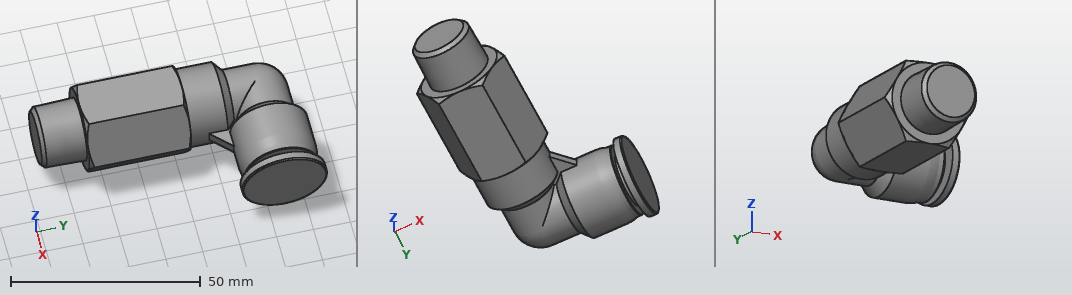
import cadquery as cq
import math


HEX_FLATS = 22.25
HEX_BOTTOM = 11.95
HEX_TOP = 39.6
HEX_CHAMFER_ANGLE = 30.0
THREAD_ROOT_DIAMETER = 17.0
THREAD_TIP_DIAMETER = 16.4
THREAD_CHAMFER = 1.1

BRANCH_Y = 60.5
ELBOW_DIAMETER = 15.85
RUN_DIAMETER = 21.0
RUN_SHOULDER = 49.7
RUN_CONE_TOP = 52.0
SLEEVE_DIAMETER = 21.2
SLEEVE_CONE_START = 8.5
SLEEVE_SHOULDER = 11.15
SLEEVE_CURVE_START = 20.95
SLEEVE_CURVE_END = 23.9
SLEEVE_LIP_DIAMETER = 20.0
SLEEVE_END = 25.5
SLEEVE_LIP_CHAMFER = 0.2
RIB_THICKNESS = 2.9
RIB_CORNER_X = 15.85

STEM_DIAMETER = 14.8
FLANGE_START = 27.0
FLANGE_END = 29.3
FLANGE_LENGTH_Y = 23.05
FLANGE_LENGTH_Z = 20.5
FLANGE_CHAMFER = 0.35


def hexagon():
    """Hexagonal prism with corners on the X axis and both ends chamfered to the flats."""
    corner_diameter = HEX_FLATS / math.cos(math.radians(30))
    corner_radius = corner_diameter / 2
    flat_radius = HEX_FLATS / 2
    drop = (corner_radius - flat_radius) * math.tan(math.radians(HEX_CHAMFER_ANGLE))
    prism = (
        cq.Workplane("XZ", origin=(0, HEX_BOTTOM, 0))
        .polygon(6, corner_diameter)
        .extrude(HEX_BOTTOM - HEX_TOP)
    )
    envelope = (
        cq.Workplane("XY")
        .moveTo(0, HEX_BOTTOM)
        .lineTo(flat_radius, HEX_BOTTOM)
        .lineTo(corner_radius, HEX_BOTTOM + drop)
        .lineTo(corner_radius, HEX_TOP - drop)
        .lineTo(flat_radius, HEX_TOP)
        .lineTo(0, HEX_TOP)
        .close()
        .revolve(360, (0, 0, 0), (0, 1, 0))
    )
    return prism.intersect(envelope)


def make_adapter():
    """Hexagon with a tapered, chamfered thread blank at its lower end."""
    tip_radius = THREAD_TIP_DIAMETER / 2
    thread = (
        cq.Workplane("XY")
        .lineTo(tip_radius - THREAD_CHAMFER, 0)
        .lineTo(tip_radius, THREAD_CHAMFER)
        .lineTo(THREAD_ROOT_DIAMETER / 2, HEX_BOTTOM)
        .lineTo(0, HEX_BOTTOM)
        .close()
        .revolve(360, (0, 0, 0), (0, 1, 0))
    )
    return hexagon().union(thread)


def elbow_run():
    """Stepped leg rising from the hexagon to the branch axis."""
    return (
        cq.Workplane("XY")
        .moveTo(0, HEX_TOP)
        .lineTo(RUN_DIAMETER / 2, HEX_TOP)
        .lineTo(RUN_DIAMETER / 2, RUN_SHOULDER)
        .lineTo(ELBOW_DIAMETER / 2, RUN_CONE_TOP)
        .lineTo(ELBOW_DIAMETER / 2, BRANCH_Y)
        .lineTo(0, BRANCH_Y)
        .close()
        .revolve(360, (0, 0, 0), (0, 1, 0))
    )


def elbow_branch():
    """Leg along X that widens into the tube sleeve with a rounded mouth."""
    sleeve_radius = SLEEVE_DIAMETER / 2
    lip_radius = SLEEVE_LIP_DIAMETER / 2
    return (
        cq.Workplane("XY", origin=(0, BRANCH_Y, 0))
        .lineTo(0, ELBOW_DIAMETER / 2)
        .lineTo(SLEEVE_CONE_START, ELBOW_DIAMETER / 2)
        .lineTo(SLEEVE_SHOULDER, sleeve_radius)
        .lineTo(SLEEVE_CURVE_START, sleeve_radius)
        .tangentArcPoint((SLEEVE_CURVE_END, lip_radius), relative=False)
        .lineTo(SLEEVE_END - SLEEVE_LIP_CHAMFER, lip_radius)
        .lineTo(SLEEVE_END, lip_radius - SLEEVE_LIP_CHAMFER)
        .lineTo(SLEEVE_END, 0)
        .close()
        .revolve(360, (0, 0, 0), (1, 0, 0))
    )


def elbow_rib():
    """Web across the inside of the elbow with a 45 degree outer edge."""
    sleeve_bottom = BRANCH_Y - SLEEVE_DIAMETER / 2
    edge_bottom = sleeve_bottom - RIB_CORNER_X
    return (
        cq.Workplane("XY")
        .moveTo(0, BRANCH_Y)
        .lineTo(0, RUN_SHOULDER)
        .lineTo(RUN_DIAMETER / 2, edge_bottom + RUN_DIAMETER / 2)
        .lineTo(RIB_CORNER_X, sleeve_bottom)
        .lineTo(RIB_CORNER_X, BRANCH_Y)
        .close()
        .extrude(RIB_THICKNESS / 2, both=True)
    )


def make_elbow():
    """Two legs joined by a spherical corner and stiffened by the rib."""
    corner = cq.Workplane("XY", origin=(0, BRANCH_Y, 0)).sphere(ELBOW_DIAMETER / 2)
    return elbow_run().union(elbow_branch()).union(corner).union(elbow_rib())


def make_collar():
    """Release collar: round stem against the sleeve mouth and an oval flange."""
    stem = (
        cq.Workplane("YZ", origin=(SLEEVE_END, BRANCH_Y, 0))
        .circle(STEM_DIAMETER / 2)
        .extrude(FLANGE_START - SLEEVE_END)
    )
    flange = (
        cq.Workplane("YZ", origin=(FLANGE_START, BRANCH_Y, 0))
        .ellipse(FLANGE_LENGTH_Y / 2, FLANGE_LENGTH_Z / 2)
        .extrude(FLANGE_END - FLANGE_START)
        .faces(">X")
        .chamfer(FLANGE_CHAMFER)
    )
    return stem.union(flange)


adapter = make_adapter()
elbow = make_elbow()
collar = make_collar()

result = cq.Compound.makeCompound([adapter.val(), elbow.val(), collar.val()])